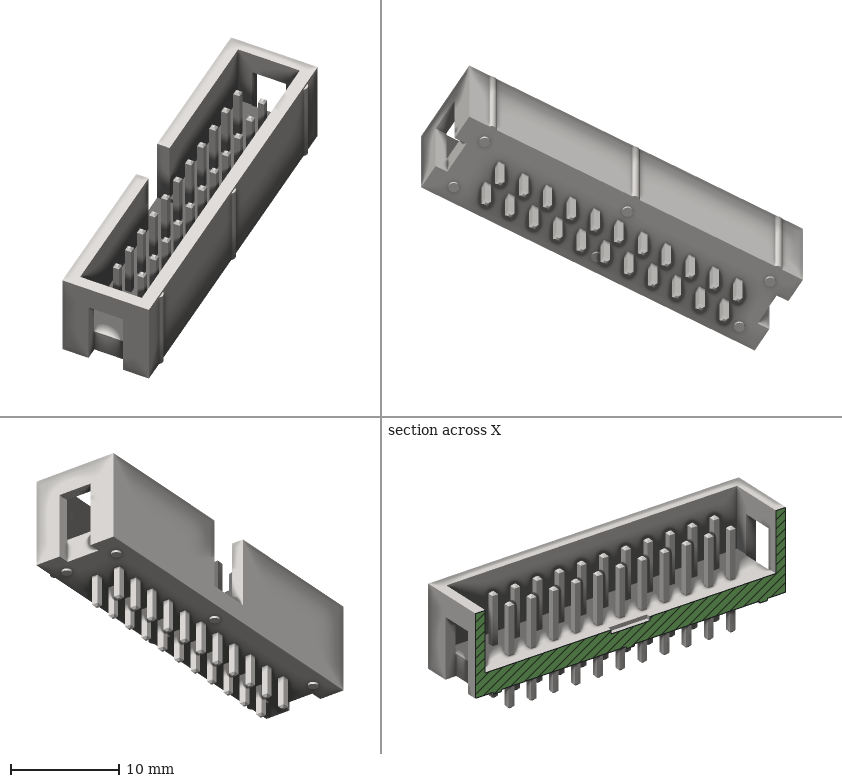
import cadquery as cq

body_width = 8.9
body_length = 35.6
body_height = 8.9
side_wall = 1.28
end_wall = 1.15
floor_height = 2.35

end_slot_width = 3.52
end_slot_top = 6.55
end_slot_floor_bite = 0.1
end_slot_depth = end_wall + end_slot_floor_bite

notch_length = 4.4
notch_depth = 2.03
notch_bottom = 1.92

pin_rows = 2
pins_per_row = 11
pin_row_span = 25.4
pin_pitch = pin_row_span / (pins_per_row - 1)
pin_size = 0.65
pin_tip_size = 0.25
pin_tip_length = 0.2
pin_top = 7.8
pin_bottom = -3.2

round_diameter = 1.0
round_projection = 0.2
round_y_spacing = 15.25
standoff_x = 2.85
rib_height = 8.6
round_y_positions = [-round_y_spacing, 0, round_y_spacing]


def make_block(x_size, y_size, z_bottom, z_top, x=0, y=0):
    """Box centred on (x, y) between two heights."""
    block = cq.Workplane("XY").box(x_size, y_size, z_top - z_bottom, centered=(True, True, False))
    return block.translate((x, y, z_bottom))


def make_shroud():
    """Open-topped box with end slots and a polarising notch."""
    shroud = make_block(body_width, body_length, 0, body_height)
    cavity_width = body_width - 2 * side_wall
    cavity_length = body_length - 2 * end_wall
    shroud = shroud.cut(make_block(cavity_width, cavity_length, floor_height, body_height))
    for side in (-1, 1):
        slot_y = side * (body_length - end_slot_depth) / 2
        shroud = shroud.cut(make_block(end_slot_width, end_slot_depth, 0, end_slot_top, y=slot_y))
    notch_x = (notch_depth - body_width) / 2
    return shroud.cut(make_block(notch_depth, notch_length, notch_bottom, body_height, x=notch_x))


def make_pin():
    """Square pin on the Z axis with a tapered tip at each end."""
    shank_bottom = pin_bottom + pin_tip_length
    shank_top = pin_top - pin_tip_length
    pin = make_block(pin_size, pin_size, shank_bottom, shank_top)
    for face in ("<Z", ">Z"):
        tip = (
            pin.faces(face).workplane()
            .rect(pin_size, pin_size)
            .workplane(offset=pin_tip_length)
            .rect(pin_tip_size, pin_tip_size)
            .loft(combine=False)
        )
        pin = pin.union(tip)
    return pin


def add_pins(part):
    pin = make_pin()
    for row in range(pin_rows):
        pin_x = (row - (pin_rows - 1) / 2) * pin_pitch
        for index in range(pins_per_row):
            pin_y = (index - (pins_per_row - 1) / 2) * pin_pitch
            part = part.union(pin.translate((pin_x, pin_y, 0)))
    return part


def add_standoffs(part):
    points = [(x, y) for x in (-standoff_x, standoff_x) for y in round_y_positions]
    standoffs = (
        cq.Workplane("XY")
        .pushPoints(points)
        .circle(round_diameter / 2)
        .extrude(-round_projection)
    )
    return part.union(standoffs)


def add_ribs(part):
    """Vertical round ribs, mostly sunk into the +X wall."""
    rib_x = body_width / 2 + round_projection - round_diameter / 2
    ribs = (
        cq.Workplane("XY")
        .pushPoints([(rib_x, y) for y in round_y_positions])
        .circle(round_diameter / 2)
        .extrude(rib_height)
    )
    return part.union(ribs)


result = add_ribs(add_standoffs(add_pins(make_shroud())))